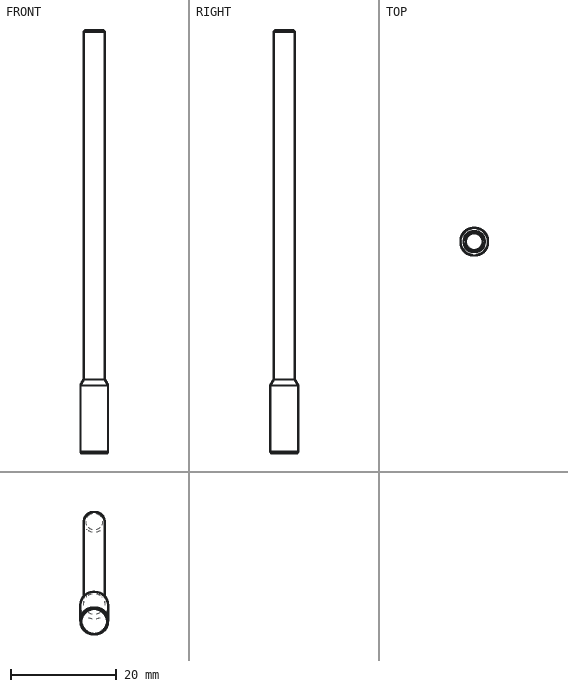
import cadquery as cq
import math

total_length = 80.0

head_diameter = 5.29
head_length = 14.0
tip_chamfer_height = 0.4
taper_half_angle = 30.0

shank_diameter = 4.0
shank_edge_chamfer = 0.4

head_radius = head_diameter / 2
shank_radius = shank_diameter / 2
taper_slope = math.tan(math.radians(taper_half_angle))
tip_radius = head_radius - tip_chamfer_height * taper_slope
shoulder_height = (head_radius - shank_radius) / taper_slope


def make_head():
    """Turned head on Z = 0: chamfered tip, cylinder, then the conical shoulder."""
    return (
        cq.Workplane("XZ")
        .lineTo(tip_radius, 0)
        .lineTo(head_radius, tip_chamfer_height)
        .lineTo(head_radius, head_length - shoulder_height)
        .lineTo(shank_radius, head_length)
        .lineTo(0, head_length)
        .close()
        .revolve(360, (0, 0), (0, 1))
    )


def make_shank():
    """Cylinder from the top of the head to the full length, with a chamfered top edge."""
    return (
        cq.Workplane("XY")
        .workplane(offset=head_length)
        .circle(shank_radius)
        .extrude(total_length - head_length)
        .faces(">Z")
        .chamfer(shank_edge_chamfer)
    )


head = make_head()
shank = make_shank()
result = cq.Compound.makeCompound([head.val(), shank.val()])